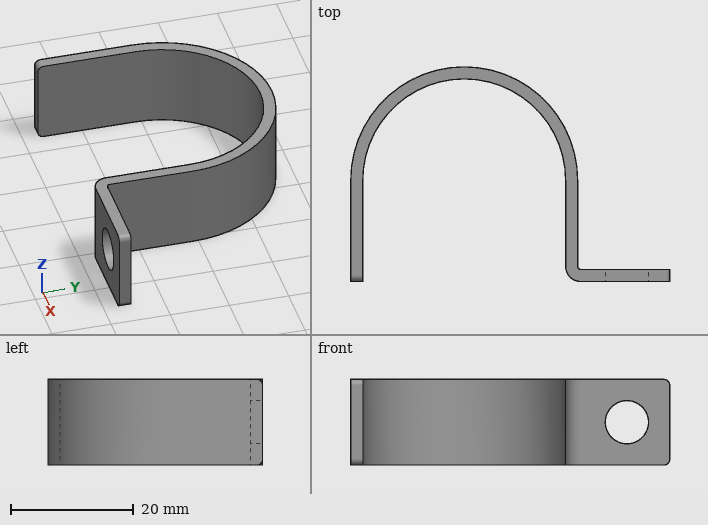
import cadquery as cq
import math

strip_thickness = 2.0
strip_width = 14.0
loop_outer_radius = 18.5
overall_length = 52.0
overall_depth = 35.0
bend_inner_radius = 0.5
corner_radius = 1.0
hole_diameter = 7.0
hole_to_flange_end = 7.0

loop_inner_radius = loop_outer_radius - strip_thickness
bend_outer_radius = bend_inner_radius + strip_thickness
base_y = loop_outer_radius - overall_depth
flange_top_y = base_y + strip_thickness
flange_end_x = overall_length - loop_outer_radius
bend_center_x = loop_outer_radius + bend_inner_radius
bend_center_y = flange_top_y + bend_inner_radius
hole_x = flange_end_x - hole_to_flange_end


def bend_midpoint(radius):
    """Point halfway round the quarter bend between the leg and the flange."""
    offset = radius * math.sqrt(0.5)
    return (bend_center_x - offset, bend_center_y - offset)


def make_strip():
    """Half loop with a free leg and a leg bent outward into a flange."""
    profile = (
        cq.Workplane("XY", origin=(0, 0, -strip_width / 2))
        .moveTo(-loop_outer_radius, base_y)
        .lineTo(-loop_outer_radius, 0)
        .threePointArc((0, loop_outer_radius), (loop_outer_radius, 0))
        .lineTo(loop_outer_radius, bend_center_y)
        .threePointArc(bend_midpoint(bend_inner_radius), (bend_center_x, flange_top_y))
        .lineTo(flange_end_x, flange_top_y)
        .lineTo(flange_end_x, base_y)
        .lineTo(bend_center_x, base_y)
        .threePointArc(bend_midpoint(bend_outer_radius), (loop_inner_radius, bend_center_y))
        .lineTo(loop_inner_radius, 0)
        .threePointArc((0, loop_inner_radius), (-loop_inner_radius, 0))
        .lineTo(-loop_inner_radius, base_y)
        .close()
    )
    return profile.extrude(strip_width)


def round_end_corners(strip):
    """Round the two corners at the flange end and at the free leg end."""
    strip = strip.faces(">X").edges("|Y").fillet(corner_radius)
    free_leg_corners = strip.edges("|X").edges("<Y").edges("<X")
    return free_leg_corners.fillet(corner_radius)


def make_mounting_hole():
    """Cylinder along Y that passes through the flange."""
    return (
        cq.Workplane("XZ", origin=(hole_x, flange_top_y, 0))
        .circle(hole_diameter / 2)
        .extrude(strip_thickness)
    )


result = round_end_corners(make_strip()).cut(make_mounting_hole())